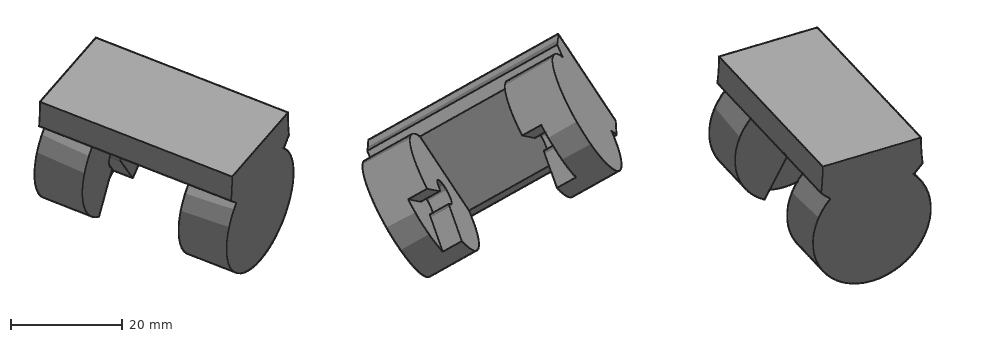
import math

import cadquery as cq

length = 40.0
disc_radius = 12.0
top_height = 16.0
top_half_width = 10.0

groove_angle = math.radians(45.0)
groove_half_width = disc_radius * math.cos(groove_angle)
groove_height = disc_radius * math.sin(groove_angle)
bar_flare = 0.33
flank_bow = 0.09

foot_length = 10.0
web_thickness = 6.0
socket_depth = foot_length - web_thickness
socket_radius = 2.5
mouth_half_angle = math.radians(30.0)
neck_rounding = 1.0

flank_half_width = top_half_width + bar_flare
flank_height = groove_height + (flank_half_width - groove_half_width)


def make_bar():
    """Full-length bar with slightly hollow flanks and bevelled lower edges."""
    mid_half_width = (top_half_width + flank_half_width) / 2 - flank_bow
    mid_height = (top_height + flank_height) / 2
    return (
        cq.Workplane("YZ")
        .moveTo(-top_half_width, top_height)
        .lineTo(top_half_width, top_height)
        .threePointArc((mid_half_width, mid_height), (flank_half_width, flank_height))
        .lineTo(groove_half_width, groove_height)
        .lineTo(-groove_half_width, groove_height)
        .lineTo(-flank_half_width, flank_height)
        .threePointArc((-mid_half_width, mid_height), (-top_half_width, top_height))
        .close()
        .extrude(length / 2, both=True)
    )


def make_socket():
    """Round seat with a flared mouth opening downward, cut from the inner face."""
    mouth_depth = 2 * disc_radius
    mouth_half_width = mouth_depth * math.tan(mouth_half_angle)
    inner_face = cq.Workplane("YZ", origin=(length / 2 - foot_length, 0, 0))
    seat = inner_face.circle(socket_radius).extrude(socket_depth)
    mouth = (
        inner_face
        .polyline([(0, 0), (-mouth_half_width, -mouth_depth), (mouth_half_width, -mouth_depth)])
        .close()
        .extrude(socket_depth)
    )
    neck_edges = cq.selectors.BoxSelector(
        (length / 2 - foot_length, -socket_radius, -socket_radius),
        (length / 2 - web_thickness, socket_radius, -socket_radius / 2),
    )
    return seat.union(mouth).edges("|X").edges(neck_edges).fillet(neck_rounding)


def make_foot():
    """Foot at the +X end: a disc trimmed level with the groove, with its socket."""
    disc = (
        cq.Workplane("YZ", origin=(length / 2 - foot_length, 0, 0))
        .moveTo(-groove_half_width, groove_height)
        .threePointArc((0, -disc_radius), (groove_half_width, groove_height))
        .close()
        .extrude(foot_length)
    )
    return disc.cut(make_socket())


foot = make_foot()
result = make_bar().union(foot).union(foot.mirror("YZ"))